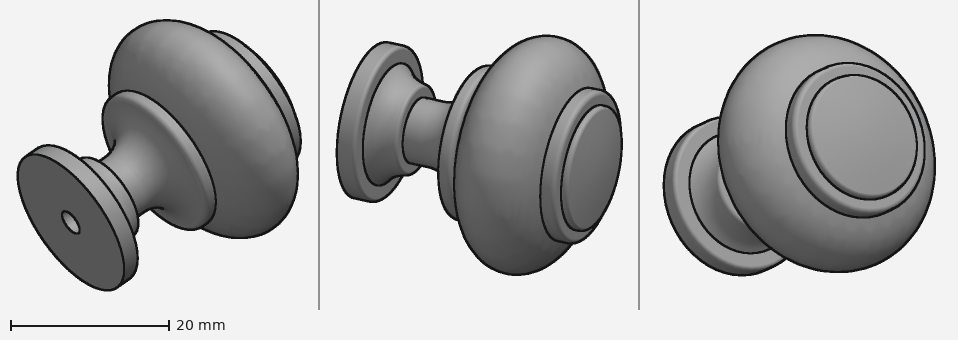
import cadquery as cq
import math

total_length = 32.1

base_radius = 10.1
base_height = 2.6
base_round = 0.5
flare_bottom_radius = 7.9
flare_mid_radius = 6.55
flare_mid_y = 4.17
flare_top_radius = 5.95
flare_top_y = 5.95
foot_round = 0.5
foot_top_y = flare_top_y + foot_round

stem_radius = 4.27
neck_start_y = 9.15
neck_sweep_radius = 4.78
neck_end_y = neck_start_y + neck_sweep_radius

collar_radius = 10.0
collar_round = 0.7
collar_top_y = 16.05

bulb_radius = 15.35
bulb_semi_width = 8.67
bulb_semi_height = 6.45
bulb_center_radius = bulb_radius - bulb_semi_width

rim_radius = 9.92
rim_top_y = 30.53
rim_round = 0.65
cap_radius = 8.1
cap_side_top_y = 30.9
dome_edge_radius = 7.7
dome_edge_y = 31.45

hole_radius = 1.67
hole_depth = 9.0
drill_point_angle = 118.0


def round_corner(profile, corner_radius, start_y, size, direction):
    """Add a convex quarter round at the profile end; direction is 1 turning inwards, -1 turning outwards."""
    center_radius = corner_radius - size
    center_y = start_y if direction == 1 else start_y + size
    end_point = (center_radius, start_y + size)
    if direction == -1:
        end_point = (corner_radius, start_y + size)
    diagonal = size * math.sqrt(0.5)
    middle_point = (center_radius + diagonal, center_y + direction * diagonal)
    return profile.threePointArc(middle_point, end_point)


def revolve_profile(profile):
    return profile.close().revolve(360, (0, 0, 0), (0, 1, 0))


def make_knob():
    profile = cq.Workplane("XY").lineTo(base_radius, 0).lineTo(base_radius, base_height - base_round)

    profile = round_corner(profile, base_radius, base_height - base_round, base_round, 1)
    profile = profile.lineTo(flare_bottom_radius, base_height)
    profile = profile.threePointArc((flare_mid_radius, flare_mid_y), (flare_top_radius, flare_top_y))
    profile = round_corner(profile, flare_top_radius, flare_top_y, foot_round, 1)

    profile = profile.lineTo(stem_radius, foot_top_y).lineTo(stem_radius, neck_start_y)
    neck_diagonal = neck_sweep_radius * math.sqrt(0.5)
    neck_center_radius = stem_radius + neck_sweep_radius
    profile = profile.threePointArc(
        (neck_center_radius - neck_diagonal, neck_start_y + neck_diagonal),
        (neck_center_radius, neck_end_y),
    )

    profile = profile.lineTo(collar_radius - collar_round, neck_end_y)
    profile = round_corner(profile, collar_radius, neck_end_y, collar_round, -1)
    profile = profile.lineTo(collar_radius, collar_top_y - collar_round)
    profile = round_corner(profile, collar_radius, collar_top_y - collar_round, collar_round, 1)

    profile = profile.lineTo(bulb_center_radius, collar_top_y)
    rim_angle = math.degrees(math.acos((rim_radius - bulb_center_radius) / bulb_semi_width))
    profile = profile.ellipseArc(bulb_semi_width, bulb_semi_height, -90, rim_angle)

    profile = profile.lineTo(rim_radius, rim_top_y - rim_round)
    profile = round_corner(profile, rim_radius, rim_top_y - rim_round, rim_round, 1)
    profile = profile.lineTo(cap_radius, rim_top_y).lineTo(cap_radius, cap_side_top_y)
    profile = profile.tangentArcPoint((dome_edge_radius, dome_edge_y), relative=False)
    dome_rise = total_length - dome_edge_y
    dome_sphere_radius = (dome_edge_radius**2 + dome_rise**2) / (2 * dome_rise)
    profile = profile.radiusArc((0, total_length), -dome_sphere_radius)
    return revolve_profile(profile)


def make_screw_hole():
    point_length = hole_radius / math.tan(math.radians(drill_point_angle / 2))
    profile = (
        cq.Workplane("XY")
        .lineTo(hole_radius, 0)
        .lineTo(hole_radius, hole_depth)
        .lineTo(0, hole_depth + point_length)
    )
    return revolve_profile(profile)


result = make_knob().cut(make_screw_hole())